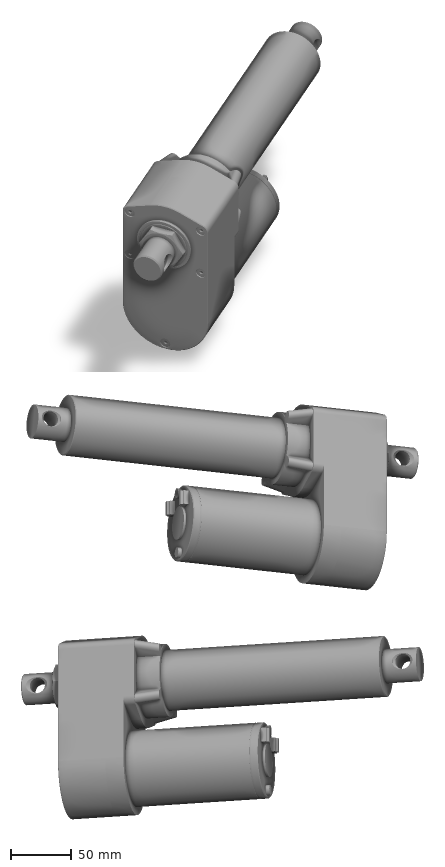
import cadquery as cq
import math


CORE_R = 38.5
MOTOR_DROP = 74.5
CORNER_R = 6.5
CORNER_X = CORE_R - CORNER_R
CORNER_Z = 22.5
SEAM_Y = 40.5
BOX_BACK_Y = 56.2
STEP_BACK_Y = 65.3
FRONT_CHAMFER = 0.7

SCREW_D = 9.0
SCREW_DEPTH = 1.0
SOCKET_D = 3.5
SOCKET_DEPTH = 2.7
LOW_SCREW_Z = -(MOTOR_DROP + CORE_R - CORNER_R)

COLLAR_R = 30.5
COLLAR_BACK_Y = 85.0
RIB_R = 4.0
RIB_ANGLE = 35
RIB_REACH_FRONT = 40.3
RIB_REACH_BACK = 35.0

TUBE_D = 50.8
TUBE_END_Y = 271.5
TUBE_CHAMFER = 0.7

MOTOR_D = 63.5
MOTOR_END_Y = 169.2
MOTOR_CHAMFER = 0.7
GROOVE_D = 63.0
GROOVE_W = 1.5
GROOVE_Y = 162.0
BEARING_D = 28.0
BEARING_H = 2.0
CAP_SCREW_D = 8.5
CAP_SCREW_H = 3.5
CAP_SCREW_OFFSET = 25.7
TERMINAL_W = 12.0
TERMINAL_BASE_T = 6.8
TERMINAL_BASE_H = 4.5
TERMINAL_TIP_T = 3.5
TERMINAL_H = 6.5
TERMINAL_X = 16.0
TERMINAL_Z = 17.0

WASHER_NECK_D = 46.7
WASHER_NECK_H = 1.7
WASHER_D = 48.0
WASHER_FACE_Y = -3.5
WASHER_GROOVE_D = 45.5
WASHER_GROOVE_W = 2.0
WASHER_GROOVE_DEPTH = 0.7
NUT_FLATS = 34.5
NUT_FACE_Y = -10.0
NUT_FACE_R = 16.5
NUT_CHAMFER_H = 1.5
CLEVIS_D = 26.0
CLEVIS_END_Y = -38.0
CLEVIS_CHAMFER = 1.0
CLEVIS_HOLE_Y = -24.5

ROD_D = 28.5
EYE_START_Y = 280.5
OVERALL_LENGTH = 338.5
ROD_END_Y = CLEVIS_END_Y + OVERALL_LENGTH
ROD_HOLE_Y = 288.7

PIN_D = 13.0
CLEVIS_FLARE_R = 9.0
ROD_FLARE_R = 8.8


def cylinder(diameter, y_start, y_end, x=0.0, z=0.0):
    """Cylinder along +Y from y_start to y_end."""
    solid = cq.Solid.makeCylinder(
        diameter / 2, y_end - y_start, cq.Vector(x, y_start, z), cq.Vector(0, 1, 0)
    )
    return cq.Workplane(obj=solid)


def section_plane(y):
    """Plane at position y whose local axes are X and Z (its normal points to -Y)."""
    return cq.Workplane("XZ", origin=(0, y, 0))


def box_outline(work, low_centre_z):
    """Crowned top and rounded corners; round bottom about low_centre_z, or mirrored top if None."""
    corner_dist = math.hypot(CORNER_X, CORNER_Z)
    tilt = math.atan2(CORNER_X, CORNER_Z) - math.acos((CORE_R - CORNER_R) / corner_dist)
    crown_x = CORE_R * math.sin(tilt)
    crown_z = CORE_R * math.cos(tilt)
    knee_x = CORNER_X + CORNER_R * math.sin(tilt)
    knee_z = CORNER_Z + CORNER_R * math.cos(tilt)
    bend_angle = (tilt + math.pi / 2) / 2
    bend_x = CORNER_X + CORNER_R * math.sin(bend_angle)
    bend_z = CORNER_Z + CORNER_R * math.cos(bend_angle)

    work = (
        work.moveTo(-crown_x, crown_z)
        .threePointArc((0, CORE_R), (crown_x, crown_z))
        .lineTo(knee_x, knee_z)
        .threePointArc((bend_x, bend_z), (CORE_R, CORNER_Z))
    )
    if low_centre_z is not None:
        work = work.lineTo(CORE_R, low_centre_z).threePointArc(
            (0, low_centre_z - CORE_R), (-CORE_R, low_centre_z)
        )
    else:
        work = (
            work.lineTo(CORE_R, -CORNER_Z)
            .threePointArc((bend_x, -bend_z), (knee_x, -knee_z))
            .lineTo(crown_x, -crown_z)
            .threePointArc((0, -CORE_R), (-crown_x, -crown_z))
            .lineTo(-knee_x, -knee_z)
            .threePointArc((-bend_x, -bend_z), (-CORE_R, -CORNER_Z))
        )
    return (
        work.lineTo(-CORE_R, CORNER_Z)
        .threePointArc((-bend_x, bend_z), (-knee_x, knee_z))
        .close()
    )


def make_gearbox():
    cover = box_outline(section_plane(SEAM_Y), -MOTOR_DROP).extrude(SEAM_Y)
    cover = cover.faces("<Y").chamfer(FRONT_CHAMFER)
    rear = box_outline(section_plane(BOX_BACK_Y), -MOTOR_DROP).extrude(BOX_BACK_Y - SEAM_Y)
    step = box_outline(section_plane(STEP_BACK_Y), None).extrude(STEP_BACK_Y - BOX_BACK_Y)
    return cover.union(rear.union(step), clean=False)


def make_screw_recesses():
    places = [(sx * CORNER_X, sz * CORNER_Z) for sx in (-1, 1) for sz in (-1, 1)]
    places.append((0, LOW_SCREW_Z))
    recesses = cq.Workplane()
    for x, z in places:
        recesses = recesses.union(cylinder(SCREW_D, 0, SCREW_DEPTH, x, z))
        recesses = recesses.union(cylinder(SOCKET_D, 0, SOCKET_DEPTH, x, z))
    return recesses


def rib_section(work, reach):
    """Round-tipped bar from the axis out to the given tip centre."""
    return (
        work.moveTo(0, -RIB_R)
        .lineTo(reach, -RIB_R)
        .threePointArc((reach + RIB_R, 0), (reach, RIB_R))
        .lineTo(0, RIB_R)
        .close()
    )


def make_collar():
    collar = cylinder(2 * COLLAR_R, STEP_BACK_Y, COLLAR_BACK_Y)
    length = COLLAR_BACK_Y - STEP_BACK_Y
    rib = rib_section(section_plane(COLLAR_BACK_Y), RIB_REACH_BACK)
    rib = rib_section(rib.workplane(offset=length), RIB_REACH_FRONT).loft(ruled=True)
    for angle in (RIB_ANGLE, 180 - RIB_ANGLE, 180 + RIB_ANGLE, -RIB_ANGLE):
        collar = collar.union(rib.rotate((0, 0, 0), (0, 1, 0), angle))
    return collar


def make_tube():
    tube = cylinder(TUBE_D, COLLAR_BACK_Y, TUBE_END_Y)
    return tube.faces(">Y").chamfer(TUBE_CHAMFER)


def terminal_block(side, thickness, height):
    block = cq.Workplane().box(thickness, height, TERMINAL_W)
    return block.translate((side * TERMINAL_X, MOTOR_END_Y + height / 2, TERMINAL_Z))


def make_motor():
    motor = cylinder(MOTOR_D, BOX_BACK_Y, MOTOR_END_Y).faces(">Y").chamfer(MOTOR_CHAMFER)
    groove_end = GROOVE_Y + GROOVE_W
    groove = cylinder(MOTOR_D, GROOVE_Y, groove_end).cut(cylinder(GROOVE_D, GROOVE_Y, groove_end))
    motor = motor.cut(groove)
    motor = motor.union(cylinder(BEARING_D, MOTOR_END_Y, MOTOR_END_Y + BEARING_H))
    for side in (-1, 1):
        screw_z = side * CAP_SCREW_OFFSET
        motor = motor.union(
            cylinder(CAP_SCREW_D, MOTOR_END_Y, MOTOR_END_Y + CAP_SCREW_H, 0, screw_z)
        )
        motor = motor.union(terminal_block(side, TERMINAL_BASE_T, TERMINAL_BASE_H))
        motor = motor.union(terminal_block(side, TERMINAL_TIP_T, TERMINAL_H))
    return motor.translate((0, 0, -MOTOR_DROP))


def make_cross_hole(diameter, y, flare_r):
    """Hole along X, opened at both ends by 45 degree countersinks."""
    outer_x = diameter / 2
    apex_x = outer_x - flare_r
    hole = cq.Workplane("YZ", origin=(-diameter, y, 0)).circle(PIN_D / 2).extrude(2 * diameter)
    for side in (-1, 1):
        cone = cq.Solid.makeCone(
            0, diameter - apex_x, diameter - apex_x,
            cq.Vector(side * apex_x, y, 0), cq.Vector(side, 0, 0),
        )
        hole = hole.union(cq.Workplane(obj=cone))
    return hole


def make_washer():
    neck = cylinder(WASHER_NECK_D, -WASHER_NECK_H, 0)
    washer = neck.union(cylinder(WASHER_D, WASHER_FACE_Y, -WASHER_NECK_H))
    groove_floor = WASHER_FACE_Y + WASHER_GROOVE_DEPTH
    land_d = WASHER_GROOVE_D - 2 * WASHER_GROOVE_W
    groove = cylinder(WASHER_GROOVE_D, WASHER_FACE_Y, groove_floor)
    return washer.cut(groove.cut(cylinder(land_d, WASHER_FACE_Y, groove_floor)))


def make_nut():
    corner_r = NUT_FLATS / 2 / math.cos(math.pi / 6)
    nut = section_plane(WASHER_FACE_Y).polygon(6, 2 * corner_r).extrude(WASHER_FACE_Y - NUT_FACE_Y)
    bevel = (
        cq.Workplane("XY")
        .moveTo(0, WASHER_FACE_Y)
        .lineTo(corner_r, WASHER_FACE_Y)
        .lineTo(corner_r, NUT_FACE_Y + NUT_CHAMFER_H)
        .lineTo(NUT_FACE_R, NUT_FACE_Y)
        .lineTo(0, NUT_FACE_Y)
        .close()
        .revolve(360, (0, 0, 0), (0, 1, 0))
    )
    return nut.intersect(bevel)


def make_clevis():
    clevis = cylinder(CLEVIS_D, CLEVIS_END_Y, NUT_FACE_Y).faces("<Y").chamfer(CLEVIS_CHAMFER)
    return clevis.cut(make_cross_hole(CLEVIS_D, CLEVIS_HOLE_Y, CLEVIS_FLARE_R))


def make_housing():
    housing = make_gearbox().cut(make_screw_recesses(), clean=False)
    for piece in (make_collar(), make_tube(), make_motor(), make_washer(), make_nut(), make_clevis()):
        housing = housing.union(piece, clean=False)
    return housing


def make_rod():
    shaft = cylinder(ROD_D, TUBE_END_Y, EYE_START_Y)
    eye = cylinder(ROD_D, EYE_START_Y, ROD_END_Y)
    eye = eye.cut(make_cross_hole(ROD_D, ROD_HOLE_Y, ROD_FLARE_R))
    return shaft.union(eye, clean=False)


housing = make_housing()
rod = make_rod()
result = cq.Compound.makeCompound([housing.val(), rod.val()])